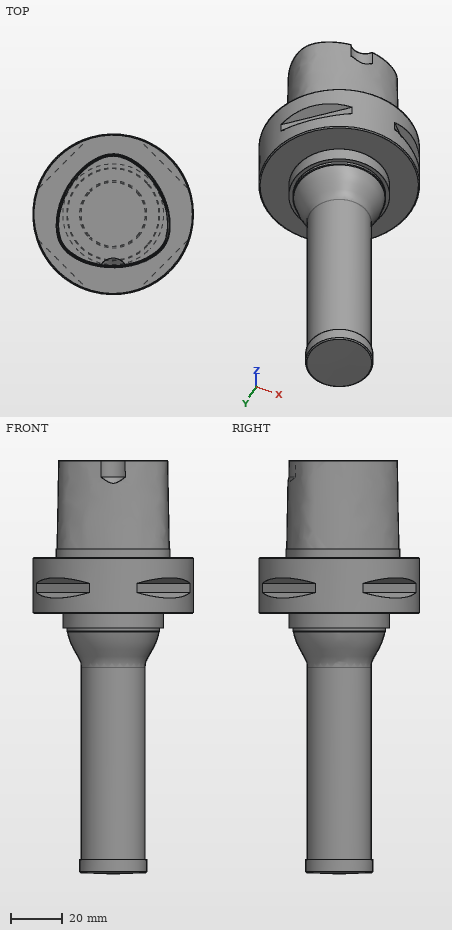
import cadquery as cq
import math

total_length = 162.0

taper_height = 37.9
taper_top_radius = 21.4
taper_base_radius = 22.0
taper_lobe = 1.4
lobe_count = 3
outline_points = 48
land_height = 3.2
land_radius = 22.4

flange_diameter = 63.0
flange_height = 22.0
flange_chamfer = 0.5

groove_count = 4
groove_start_angle = 45.0
groove_floor_distance = 27.9
groove_floor_width = 3.5
groove_flank_angle = 31.0
groove_center_z = -12.0

notch_radius = 5.7
notch_axis_y = -22.8
notch_depth = 6.5
notch_floor_angle = 39.0

collar_diameter = 39.5
collar_height = 5.7
neck_diameter = 36.5
neck_height = 1.5
neck_chamfer = 0.3
shank_diameter = 25.1

flare_height = 14.1
flare_shoulder_radius = 17.7
flare_shoulder_drop = 1.6
flare_middle_radius = 15.2
flare_middle_drop = 7.3
flare_foot_radius = 12.8
flare_foot_drop = 11.8

head_diameter = 26.4
head_height = 5.7
head_chamfer = 0.5
head_point_height = 0.5

flange_bottom = -flange_height
collar_bottom = flange_bottom - collar_height
neck_bottom = collar_bottom - neck_height
tip_z = taper_height - total_length
head_top = tip_z + head_height


def lobed_section(mean_radius, z):
    """Closed constant-width outline whose support distance varies by taper_lobe."""
    points = []
    for index in range(outline_points):
        angle = 2 * math.pi * index / outline_points
        lobe_phase = lobe_count * (angle - math.pi / 2)
        support = mean_radius + taper_lobe * math.cos(lobe_phase)
        slope = -lobe_count * taper_lobe * math.sin(lobe_phase)
        x = support * math.cos(angle) - slope * math.sin(angle)
        y = support * math.sin(angle) + slope * math.cos(angle)
        points.append(cq.Vector(x, y, z))
    return cq.Wire.assembleEdges([cq.Edge.makeSpline(points, periodic=True)])


def lobed_body(bottom_radius, bottom_z, top_radius, top_z):
    sections = [lobed_section(bottom_radius, bottom_z), lobed_section(top_radius, top_z)]
    return cq.Workplane(cq.Solid.makeLoft(sections, True))


def key_notch():
    floor_z = taper_height - notch_depth
    point_z = floor_z - notch_radius * math.tan(math.radians(notch_floor_angle))
    profile = [(0, point_z), (notch_radius, floor_z), (notch_radius, taper_height), (0, taper_height)]
    cutter = cq.Workplane("XZ").polyline(profile).close().revolve(360, (0, 0), (0, 1))
    return cutter.translate((0, notch_axis_y, 0))


def taper():
    land = lobed_body(land_radius, 0, land_radius, land_height)
    cone = lobed_body(taper_base_radius, land_height, taper_top_radius, taper_height)
    return land.union(cone).cut(key_notch())


def gripper_groove(angle):
    """Groove cutter with a flat floor and flanks that open outward."""
    outer_distance = flange_diameter / 2 + 1.6
    flare = (outer_distance - groove_floor_distance) * math.tan(math.radians(groove_flank_angle))
    half_floor = groove_floor_width / 2
    half_mouth = half_floor + flare
    profile = [
        (groove_floor_distance, groove_center_z - half_floor),
        (outer_distance, groove_center_z - half_mouth),
        (outer_distance, groove_center_z + half_mouth),
        (groove_floor_distance, groove_center_z + half_floor),
    ]
    cutter = cq.Workplane("XZ").polyline(profile).close().extrude(flange_diameter / 2, both=True)
    return cutter.rotate((0, 0, 0), (0, 0, 1), angle)


def flange():
    disc = cq.Workplane("XY").circle(flange_diameter / 2).extrude(-flange_height)
    disc = disc.edges().chamfer(flange_chamfer)
    for index in range(groove_count):
        disc = disc.cut(gripper_groove(groove_start_angle + index * 360 / groove_count))
    return disc


def neck_and_shank():
    shank_radius = shank_diameter / 2
    neck_radius = neck_diameter / 2
    flare_points = [
        (flare_shoulder_radius, neck_bottom - flare_shoulder_drop),
        (flare_middle_radius, neck_bottom - flare_middle_drop),
        (flare_foot_radius, neck_bottom - flare_foot_drop),
        (shank_radius, neck_bottom - flare_height),
    ]
    downward = (0, -1)
    return (
        cq.Workplane("XZ")
        .moveTo(0, flange_bottom)
        .lineTo(collar_diameter / 2, flange_bottom)
        .lineTo(collar_diameter / 2, collar_bottom)
        .lineTo(neck_radius, collar_bottom)
        .lineTo(neck_radius, neck_bottom + neck_chamfer)
        .lineTo(neck_radius - neck_chamfer, neck_bottom)
        .spline(flare_points, tangents=[downward, downward], includeCurrent=True)
        .lineTo(shank_radius, head_top)
        .lineTo(0, head_top)
        .close()
        .revolve(360, (0, 0), (0, 1))
    )


def make_holder():
    return taper().union(flange()).union(neck_and_shank())


def make_cutting_head():
    """Short disc with a chamfered rim and a very shallow conical end."""
    radius = head_diameter / 2
    rim_z = tip_z + head_point_height
    profile = [
        (0, head_top),
        (radius, head_top),
        (radius, rim_z + head_chamfer),
        (radius - head_chamfer, rim_z),
        (0, tip_z),
    ]
    return cq.Workplane("XZ").polyline(profile).close().revolve(360, (0, 0), (0, 1))


holder = make_holder()
cutting_head = make_cutting_head()

result = cq.Compound.makeCompound([holder.val(), cutting_head.val()])